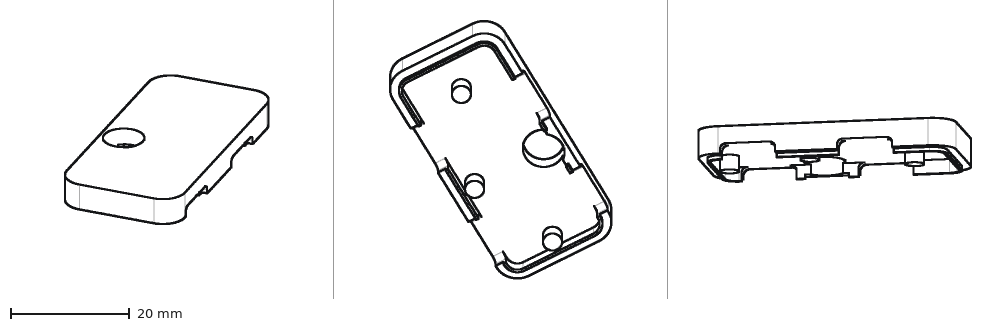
import cadquery as cq

length = 44.0
width = 21.5
height = 5.55
corner_radius = 4.0

plate_thickness = 3.0
body_depth = 4.7
lip_depth = 5.35

lip_inset = 1.5
wall_thickness = 2.0

hole_diameter = 7.0
hole_x = -6.6
hole_y = -3.0
lip_gap_length = 7.5

window_width = 9.4
window_spacing = 20.0
window_middle_y = -2.9
window_radius = 1.0

pin_diameter = 3.2
right_pin_x = 6.7
back_pin_y = 13.7
front_pin_y = corner_radius - length / 2
pin_centers = [(0, front_pin_y), (right_pin_x, hole_y), (0, back_pin_y)]


def rounded_block(inset, top_depth, bottom_depth):
    """Block between two depths, inset evenly from the outer outline."""
    return (
        cq.Workplane("XY", origin=(0, 0, -bottom_depth))
        .rect(width - 2 * inset, length - 2 * inset)
        .extrude(bottom_depth - top_depth)
        .edges("|Z")
        .fillet(corner_radius - inset)
    )


def cylinders(centers, diameter, top_depth):
    """Round bars from a given depth down to the lowest level."""
    return (
        cq.Workplane("XY", origin=(0, 0, -height))
        .pushPoints(centers)
        .circle(diameter / 2)
        .extrude(height - top_depth)
    )


def window(center_y):
    """Opening across both long walls, rounded where it meets the plate."""
    return (
        cq.Workplane("XY", origin=(0, center_y, -height))
        .rect(width, window_width)
        .extrude(height - plate_thickness)
        .edges("|X and >Z")
        .fillet(window_radius)
    )


def lip_gap():
    """Cutter that removes the left lip beside the hole."""
    return (
        cq.Workplane("XY", origin=(-width / 2, hole_y, -height))
        .rect(width / 2, lip_gap_length)
        .extrude(height - body_depth)
    )


body = rounded_block(0, 0, body_depth)
body = body.union(rounded_block(lip_inset, plate_thickness, lip_depth))
body = body.cut(rounded_block(wall_thickness, plate_thickness, height))

for side in (-1, 1):
    body = body.cut(window(window_middle_y + side * window_spacing / 2))
body = body.cut(lip_gap())

body = body.cut(cylinders([(hole_x, hole_y)], hole_diameter, 0))
result = body.union(cylinders(pin_centers, pin_diameter, plate_thickness))